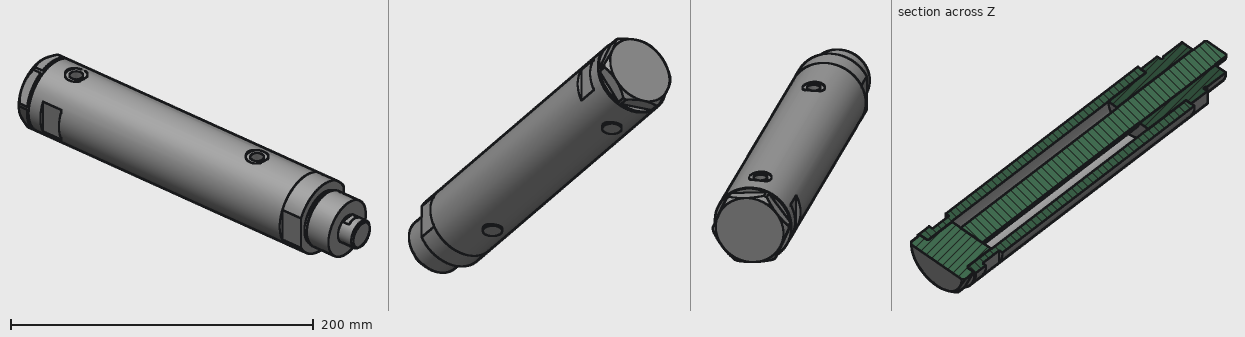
import cadquery as cq
import math


total_length = 269.0
barrel_diameter = 52.0
barrel_radius = barrel_diameter / 2
bore_radius = 18.0
rod_radius = 10.0
wrench_size = 46.0
wrench_flat_length = 15.5

hex_length = 9.1
flange_length = 1.5
barrel_start = hex_length + flange_length
barrel_end = 220.5
cap_spigot_end = 34.0
gland_spigot_start = 184.0
flange_end = barrel_end + wrench_flat_length
nose_end = 257.0

hex_sides = 6
hex_turn = 7.5
hex_chamfer = barrel_radius - wrench_size / 2

barrel_flat_start = 20.5
port_positions = (30.5, 181.5)
port_radius = 4.5
spotface_radius = 7.5
spotface_depth = 1.0
spotface_floor = barrel_radius - spotface_depth
pad_positions = (35.0, 184.5)
pad_radius = 6.5
pad_height = 1.0
pad_bottom = -(barrel_radius + pad_height)

undercut_length = 2.0
undercut_radius = 19.5
nose_radius = 20.2

rod_flat_end = 262.3
rod_flat_size = 17.0
rod_chamfer = 1.0


def cylinder_x(radius, start, end):
    """Round bar on the X axis from start to end."""
    return cq.Workplane("YZ", origin=(start, 0, 0)).circle(radius).extrude(end - start)


def flats(across, start, end, direction):
    """Two blocks that cut parallel flats, facing +/-direction ("Y" or "Z"), into a round bar."""
    block_size = 4 * barrel_radius
    offset = (across + block_size) / 2
    cutter = cq.Workplane("XY")
    for side in (-1, 1):
        y, z = (side * offset, 0) if direction == "Y" else (0, side * offset)
        block = cq.Workplane("XY").box(end - start, block_size, block_size)
        cutter = cutter.add(block.translate(((start + end) / 2, y, z)))
    return cutter.combine()


def make_cap():
    """Hex head with corners turned down to the barrel size, a flange, and a spigot in the bore."""
    envelope = cylinder_x(barrel_radius, 0, hex_length).faces("<X").chamfer(hex_chamfer)
    across_corners = wrench_size / math.cos(math.pi / hex_sides)
    hexagon = cq.Workplane("YZ").polygon(hex_sides, across_corners).extrude(hex_length)
    head = hexagon.rotate((0, 0, 0), (1, 0, 0), -hex_turn).intersect(envelope)
    flange = cylinder_x(barrel_radius, hex_length, barrel_start)
    spigot = cylinder_x(bore_radius, barrel_start, cap_spigot_end)
    return head.union(flange).union(spigot)


def make_barrel():
    """Tube with wrench flats, two spot-faced ports on top and two mounting pads below."""
    barrel = cylinder_x(barrel_radius, barrel_start, barrel_end)
    for x in pad_positions:
        pad = cq.Workplane("XY", origin=(x, 0, pad_bottom)).circle(pad_radius).extrude(-pad_bottom)
        barrel = barrel.union(pad)
    barrel = barrel.cut(cylinder_x(bore_radius, barrel_start, barrel_end))
    flat_end = barrel_flat_start + wrench_flat_length
    barrel = barrel.cut(flats(wrench_size, barrel_flat_start, flat_end, "Y"))
    for x in port_positions:
        hole = cq.Workplane("XY", origin=(x, 0, 0)).circle(port_radius).extrude(barrel_radius)
        spotface_plane = cq.Workplane("XY", origin=(x, 0, spotface_floor))
        spotface = spotface_plane.circle(spotface_radius).extrude(spotface_depth)
        barrel = barrel.cut(hole).cut(spotface)
    return barrel


def make_gland():
    """Rod guide: a spigot in the bore, a flange with wrench flats and an undercut nose."""
    spigot = cylinder_x(bore_radius, gland_spigot_start, barrel_end)
    flange = cylinder_x(barrel_radius, barrel_end, flange_end)
    flange = flange.cut(flats(wrench_size, barrel_end, flange_end, "Y"))
    nose_start = flange_end + undercut_length
    undercut = cylinder_x(undercut_radius, flange_end, nose_start)
    nose = cylinder_x(nose_radius, nose_start, nose_end)
    nose = nose.faces("<X").chamfer(nose_radius - undercut_radius)
    gland = spigot.union(flange).union(undercut).union(nose)
    return gland.cut(cylinder_x(rod_radius, gland_spigot_start, nose_end))


def make_rod():
    """Rod from the cap spigot out through the gland, with wrench flats on its free end."""
    rod = cylinder_x(rod_radius, cap_spigot_end, total_length).faces(">X").chamfer(rod_chamfer)
    return rod.cut(flats(rod_flat_size, nose_end, rod_flat_end, "Z"))


cap = make_cap()
barrel = make_barrel()
gland = make_gland()
rod = make_rod()

result = cq.Compound.makeCompound([cap.val(), barrel.val(), gland.val(), rod.val()])